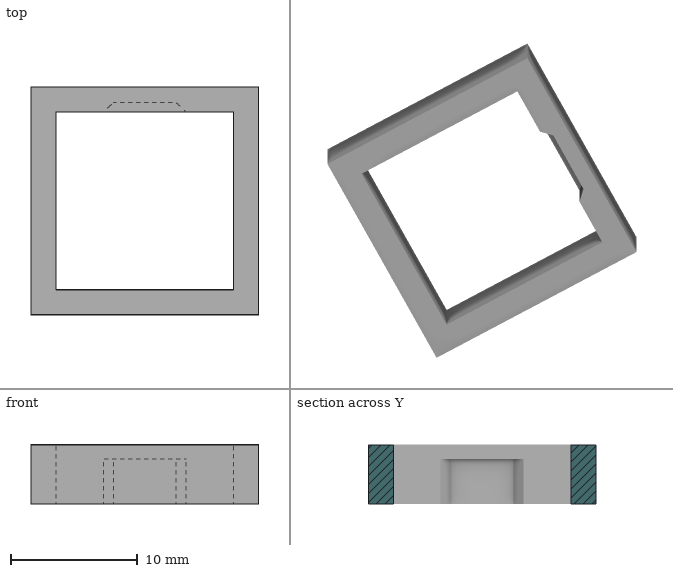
import cadquery as cq

outer_side = 18.0
wall = 2.0
height = 4.7
opening_side = outer_side - 2 * wall

recess_width = 6.52
recess_depth = 0.77
recess_height = 3.56


def make_frame():
    """Square ring standing on Z = 0, centred on the Z axis."""
    return (
        cq.Workplane("XY")
        .rect(outer_side, outer_side)
        .rect(opening_side, opening_side)
        .extrude(height)
    )


def make_recess():
    """Trapezoidal pocket whose sides narrow at 45 degrees into the wall."""
    mouth_y = opening_side / 2
    back_y = mouth_y + recess_depth
    half_mouth = recess_width / 2
    half_back = half_mouth - recess_depth
    return (
        cq.Workplane("XY")
        .moveTo(-half_mouth, mouth_y)
        .lineTo(half_mouth, mouth_y)
        .lineTo(half_back, back_y)
        .lineTo(-half_back, back_y)
        .close()
        .extrude(recess_height)
    )


result = make_frame().cut(make_recess())